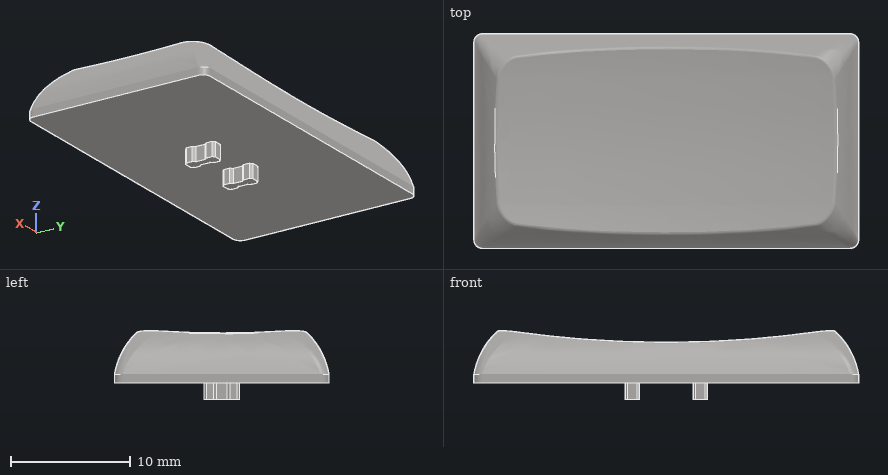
import cadquery as cq
import math


length = 32.25
width = 18.0
plate_height = 0.73
plate_corner_radius = 0.75

flank_radius = 6.35
flank_start_lean = math.radians(9.8)
loft_height = 4.2
loft_steps = 5
corner_growth = 0.53

dish_floor = 3.0
dish_radius_x = 83.0
dish_radius_y = 70.0
dish_half_length = 20.0
dish_sweep = 40.0
rim_fillet = 0.3

leg_height = 1.38
leg_spacing = 5.7
leg_thickness = 1.2
leg_width = 3.0
leg_chamfer = 0.22
groove_mouth = 1.4
groove_bottom = 0.9
groove_depth = 0.2


def flank_inset(rise):
    """Inward offset of the side at a given rise above the plate."""
    arc_center_rise = -flank_radius * math.sin(flank_start_lean)
    reach_at_plate = flank_radius * math.cos(flank_start_lean)
    return reach_at_plate - math.sqrt(flank_radius**2 - (rise - arc_center_rise) ** 2)


def cap_section(inset):
    """Rounded rectangle of the cap, inset from its outline."""
    radius = plate_corner_radius + corner_growth * inset
    return cq.Sketch().rect(length - 2 * inset, width - 2 * inset).vertices().fillet(radius)


def make_plate():
    return cq.Workplane("XY").placeSketch(cap_section(0)).extrude(plate_height)


def make_body():
    sections = []
    for step in range(loft_steps + 1):
        rise = loft_height * step / loft_steps
        section = cap_section(flank_inset(rise))
        sections.append(section.moved(cq.Location(cq.Vector(0, 0, plate_height + rise))))
    return cq.Workplane("XY").placeSketch(*sections).loft()


def make_dish_cutter():
    sag = dish_radius_x - math.sqrt(dish_radius_x**2 - dish_half_length**2)
    axis_height = dish_floor + dish_radius_y
    profile = (
        cq.Workplane("XZ")
        .moveTo(-dish_half_length, axis_height)
        .lineTo(-dish_half_length, dish_floor + sag)
        .threePointArc((0, dish_floor), (dish_half_length, dish_floor + sag))
        .lineTo(dish_half_length, axis_height)
        .close()
    )
    cutter = profile.revolve(dish_sweep, (0, axis_height), (1, axis_height))
    return cutter.rotate((0, 0, axis_height), (1, 0, axis_height), -dish_sweep / 2)


def make_leg(center_x):
    """Chamfered bar with a sloped-wall groove down the middle of both broad sides."""
    leg = cq.Workplane("XY").box(leg_thickness, leg_width, leg_height, centered=(True, True, False))
    leg = leg.edges("|Z").chamfer(leg_chamfer)
    for side in (-1, 1):
        face_x = side * leg_thickness / 2
        floor_x = face_x - side * groove_depth
        groove = (
            cq.Workplane("XY")
            .polyline([
                (face_x, -groove_mouth / 2),
                (floor_x, -groove_bottom / 2),
                (floor_x, groove_bottom / 2),
                (face_x, groove_mouth / 2),
            ])
            .close()
            .extrude(leg_height)
        )
        leg = leg.cut(groove)
    return leg.translate((center_x, 0, -leg_height))


body = make_body().cut(make_dish_cutter())
body = body.faces(">Z").edges().fillet(rim_fillet)

result = body.union(make_plate())
for side in (-1, 1):
    result = result.union(make_leg(side * leg_spacing / 2))